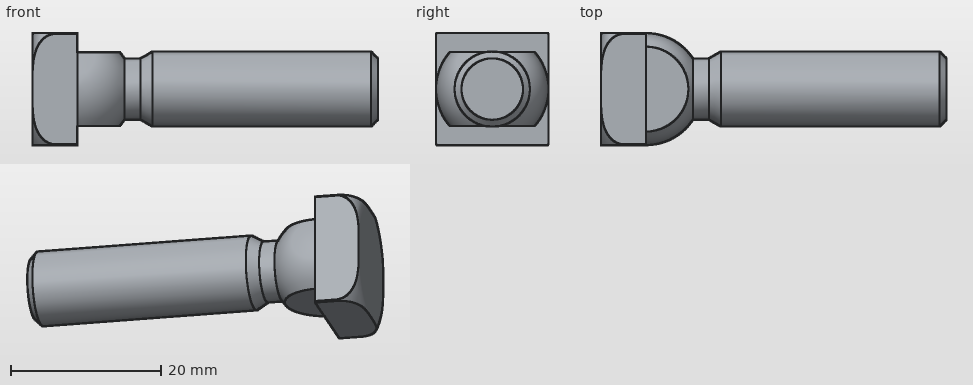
import cadquery as cq

total_length = 46.0
head_width = 15.0
head_thickness = 6.0
corner_round = 3.0
ball_flat_height = 4.9
neck_radius = 4.1
neck_end = 14.35
shank_start = 15.95
shank_radius = 5.0
end_chamfer = shank_radius - neck_radius

face_radius = head_width / 2
ball_radius = head_width / 2


def make_head():
    """Square head whose front corners are rounded about the bolt axis."""
    square = cq.Workplane("YZ").rect(head_width, head_width).extrude(head_thickness)
    rounded_disc = (
        cq.Workplane("YZ")
        .circle(face_radius + corner_round)
        .extrude(head_thickness)
        .faces("<X")
        .edges()
        .fillet(corner_round)
    )
    return square.intersect(rounded_disc)


def make_ball():
    """Half ball behind the head, cut flat above and below the axis."""
    ball = cq.Workplane("XY").sphere(ball_radius).translate((head_thickness, 0, 0))
    slab = cq.Workplane("XY").box(
        ball_radius, head_width, 2 * ball_flat_height, centered=(False, True, True)
    )
    return ball.intersect(slab.translate((head_thickness, 0, 0)))


def make_shank():
    """Neck, conical shoulder and chamfered shank, turned about the X axis."""
    profile = [
        (head_thickness, 0),
        (head_thickness, neck_radius),
        (neck_end, neck_radius),
        (shank_start, shank_radius),
        (total_length - end_chamfer, shank_radius),
        (total_length, shank_radius - end_chamfer),
        (total_length, 0),
    ]
    return cq.Workplane("XY").polyline(profile).close().revolve(360, (0, 0, 0), (1, 0, 0))


result = make_head().union(make_ball()).union(make_shank())